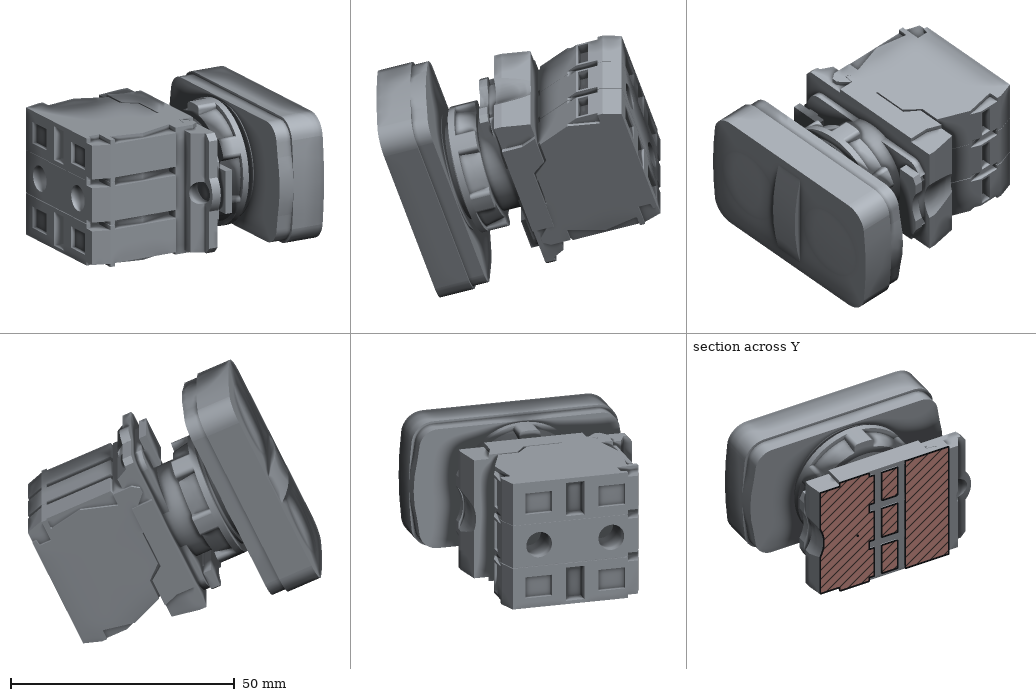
import cadquery as cq
import math


Y_TERMINAL_CHAMFER = 4.0
Y_CONTACT_TOP = 20.5
Y_HOLDER_STEP = 23.65
Y_EAR_BACK = 26.45
Y_HOLDER_TOP = 28.6
Y_PLATE_TOP = 30.2
Y_TAB_BACK = 30.4
Y_RIGHT_TAB_BACK = 30.6
Y_TAB_TOP = 32.35
Y_NUT_BACK = 34.75
Y_NUT_RIM_BACK = 39.3
Y_NUT_FRONT = 40.75
Y_GASKET_FRONT = 41.3
Y_FLANGE_BACK = 42.5
Y_BEZEL_BACK = 42.7
Y_BEZEL_STEP = 46.3
Y_BEZEL_FRONT = 54.2
Y_ROCKER_FRONT = 55.9

BODY_HALF_HEIGHT = 30.0 / 2
CONTACT_BOTTOM = -14.75
LEVER_HALF_HEIGHT = 14.0
DIVIDER_INNER = 4.0
DIVIDER_OUTER = 6.1

OVERCUT = 0.55


def prism_z(points, z_low, z_high):
    """Prism along Z from an outline of (X, Y) points."""
    return cq.Workplane("XY").workplane(offset=z_low).polyline(points).close().extrude(z_high - z_low)


def plane_y(y):
    """XZ sketch plane at the given Y; extrusions from it run toward -Y."""
    return cq.Workplane("XZ", origin=(0, y, 0))


def box(x_range, y_range, z_range):
    """Box from its limits along each axis."""
    sizes = [high - low for low, high in (x_range, y_range, z_range)]
    corner = (x_range[0], y_range[0], z_range[0])
    return cq.Workplane("XY").box(*sizes, centered=False).translate(corner)


def disc(diameter, y_back, y_front):
    """Cylinder on the neck axis."""
    return plane_y(y_front).circle(diameter / 2).extrude(y_front - y_back)


BEZEL_HALF_LENGTH = 24.75
BEZEL_STRAIGHT = 19.1


def bezel_layer(half_height, corner_end, bulge_end, y_back, y_front):
    """Rounded plate whose two ends bulge; corner_end and bulge_end are (X, Z) on the +X +Z quarter."""
    corner_x, corner_z = corner_end
    bulge_x, bulge_z = bulge_end
    corner_width = corner_x - BEZEL_STRAIGHT
    corner_drop = half_height - corner_z
    corner_radius = (corner_width**2 + corner_drop**2) / (2 * corner_drop)
    half_sweep = math.asin(corner_width / corner_radius) / 2
    middle_x = BEZEL_STRAIGHT + corner_radius * math.sin(half_sweep)
    middle_z = half_height - corner_radius * (1 - math.cos(half_sweep))
    has_flat = bulge_end != corner_end
    outline = plane_y(y_front).moveTo(-BEZEL_STRAIGHT, half_height)
    for side in (1, -1):
        outline = outline.lineTo(side * BEZEL_STRAIGHT, side * half_height)
        outline = outline.threePointArc(
            (side * middle_x, side * middle_z),
            (side * corner_x, side * corner_z),
        )
        if has_flat:
            outline = outline.lineTo(side * bulge_x, side * bulge_z)
        outline = outline.threePointArc((side * BEZEL_HALF_LENGTH, 0), (side * bulge_x, -side * bulge_z))
        if has_flat:
            outline = outline.lineTo(side * corner_x, -side * corner_z)
        outline = outline.threePointArc(
            (side * middle_x, -side * middle_z),
            (side * BEZEL_STRAIGHT, -side * half_height),
        )
    return outline.close().extrude(y_front - y_back)


def bezel():
    front_corner = (24.15, 10.4)
    front = bezel_layer(14.75, front_corner, front_corner, Y_BEZEL_STEP, Y_BEZEL_FRONT)
    back = bezel_layer(14.1, (23.4, 10.25), (23.9, 6.9), Y_BEZEL_BACK, Y_BEZEL_STEP)
    return front.union(back)


def rocker():
    """Curved bar across the middle of the bezel face."""
    half_width = 3.5
    half_height = 12.3
    return (
        cq.Workplane("YZ", origin=(-half_width, 0, 0))
        .moveTo(Y_BEZEL_FRONT - OVERCUT, -half_height)
        .lineTo(Y_BEZEL_FRONT, -half_height)
        .threePointArc((Y_ROCKER_FRONT, 0), (Y_BEZEL_FRONT, half_height))
        .lineTo(Y_BEZEL_FRONT - OVERCUT, half_height)
        .close()
        .extrude(2 * half_width)
    )


def lens(x):
    """Shallow spherical cap on the bezel face."""
    base_radius = 17.0 / 2
    rise = 0.4
    sphere_radius = (base_radius**2 + rise**2) / (2 * rise)
    half_angle = math.asin(base_radius / sphere_radius) / 2
    middle = (
        sphere_radius * math.sin(half_angle),
        Y_BEZEL_FRONT + rise - sphere_radius * (1 - math.cos(half_angle)),
    )
    return (
        cq.Workplane("XY")
        .moveTo(0, Y_BEZEL_FRONT - OVERCUT)
        .lineTo(base_radius, Y_BEZEL_FRONT - OVERCUT)
        .lineTo(base_radius, Y_BEZEL_FRONT)
        .threePointArc(middle, (0, Y_BEZEL_FRONT + rise))
        .close()
        .revolve(360, (0, 0, 0), (0, 1, 0))
        .translate((x, 0, 0))
    )


LENS_X = 13.2
head = bezel().union(rocker())
for lens_x in (-LENS_X, LENS_X):
    head = head.union(lens(lens_x))

NECK_DIAMETER = 22.0
FLANGE_DIAMETER = 26.8
GASKET_DIAMETER = 25.0
NUT_DIAMETER = 29.0
NUT_CONE_FRONT_DIAMETER = 26.8
NUT_CONE_BACK_DIAMETER = 25.0
NUT_RIDGES = 6
NUT_RIDGE_WIDTH = 3.0
NUT_SHOULDER_RADIUS = 0.95


def nut():
    """Round rim with a cone behind it that carries evenly spaced ridges."""
    body = disc(NUT_DIAMETER, Y_NUT_RIM_BACK, Y_NUT_FRONT)
    cone = (
        plane_y(Y_NUT_RIM_BACK)
        .circle(NUT_CONE_FRONT_DIAMETER / 2)
        .workplane(offset=Y_NUT_RIM_BACK - Y_NUT_BACK)
        .circle(NUT_CONE_BACK_DIAMETER / 2)
        .loft()
    )
    nut_cylinder = disc(NUT_DIAMETER, Y_NUT_BACK, Y_NUT_RIM_BACK)
    ridge = nut_ridge().intersect(nut_cylinder)
    body = body.union(cone)
    for index in range(NUT_RIDGES):
        body = body.union(ridge.rotate((0, 0, 0), (0, 1, 0), index * 360 / NUT_RIDGES))
    return body


def nut_ridge():
    """Ridge on the +Z side with rounded shoulders and straight flanks."""
    crest_half_width = NUT_RIDGE_WIDTH / 2
    half_width = crest_half_width + NUT_SHOULDER_RADIUS
    shoulder_top = math.sqrt((NUT_DIAMETER / 2) ** 2 - crest_half_width**2)
    shoulder_center = shoulder_top - NUT_SHOULDER_RADIUS
    diagonal = NUT_SHOULDER_RADIUS * math.sqrt(0.5)
    shoulder_middle = (crest_half_width + diagonal, shoulder_center + diagonal)
    base = NECK_DIAMETER / 2
    return (
        plane_y(Y_NUT_RIM_BACK)
        .moveTo(-crest_half_width, NUT_DIAMETER / 2)
        .lineTo(crest_half_width, NUT_DIAMETER / 2)
        .lineTo(crest_half_width, shoulder_top)
        .threePointArc(shoulder_middle, (half_width, shoulder_center))
        .lineTo(half_width, base)
        .lineTo(-half_width, base)
        .lineTo(-half_width, shoulder_center)
        .threePointArc((-shoulder_middle[0], shoulder_middle[1]), (-crest_half_width, shoulder_top))
        .close()
        .extrude(Y_NUT_RIM_BACK - Y_NUT_BACK)
    )


neck = (
    disc(NECK_DIAMETER, Y_HOLDER_TOP - OVERCUT, Y_BEZEL_BACK)
    .union(disc(FLANGE_DIAMETER, Y_FLANGE_BACK, Y_BEZEL_BACK))
    .union(disc(GASKET_DIAMETER, Y_NUT_FRONT, Y_GASKET_FRONT))
    .union(nut())
)

TAB_HALF_HEIGHT = 8.45
TAB_FOOT_HALF_HEIGHT = 5.05
TAB_FOOT_OVERLAP = 0.1


def locking_plate():
    half_height = 10.05
    return (
        plane_y(Y_PLATE_TOP)
        .moveTo(-13.6, half_height)
        .lineTo(15.8, half_height)
        .threePointArc((17.35, 9.6), (18.35, 8.65))
        .lineTo(19.35, 6.7)
        .lineTo(19.35, -6.7)
        .lineTo(18.35, -8.65)
        .threePointArc((17.35, -9.6), (15.8, -half_height))
        .lineTo(-13.6, -half_height)
        .threePointArc((-14.65, -9.85), (-15.55, -9.2))
        .lineTo(-17.15, -7.3)
        .lineTo(-16.1, -6.25)
        .lineTo(-16.9, -5.4)
        .lineTo(-16.9, 5.4)
        .lineTo(-16.1, 6.25)
        .lineTo(-17.15, 7.3)
        .lineTo(-15.55, 9.2)
        .threePointArc((-14.65, 9.85), (-13.6, half_height))
        .close()
        .extrude(Y_PLATE_TOP - Y_HOLDER_TOP)
    )


def tabs():
    """Left tab with slanted corners and a plain right tab, each standing on a low foot."""
    left = (
        plane_y(Y_TAB_TOP)
        .polyline([
            (-12.9, TAB_HALF_HEIGHT),
            (-17.15, TAB_HALF_HEIGHT),
            (-18.0, 6.65),
            (-18.0, -6.65),
            (-17.15, -TAB_HALF_HEIGHT),
            (-12.9, -TAB_HALF_HEIGHT),
        ])
        .close()
        .extrude(Y_TAB_TOP - Y_TAB_BACK)
    )
    foot_z = (-TAB_FOOT_HALF_HEIGHT, TAB_FOOT_HALF_HEIGHT)
    both = left.union(box((13.6, 21.45), (Y_RIGHT_TAB_BACK, Y_TAB_TOP), foot_z))
    foot_y = (Y_PLATE_TOP - OVERCUT, Y_RIGHT_TAB_BACK + TAB_FOOT_OVERLAP)
    for foot_x in ((-16.75, -12.65), (15.8, 18.35)):
        both = both.union(box(foot_x, foot_y, foot_z))
    return both


def holder():
    core = prism_z(
        [
            (-12.65, Y_HOLDER_TOP),
            (10.4, Y_HOLDER_TOP),
            (10.4, Y_HOLDER_STEP),
            (-4.85, Y_HOLDER_STEP),
            (-7.2, Y_CONTACT_TOP),
            (-14.0, Y_CONTACT_TOP),
            (-12.65, 23.85),
        ],
        -BODY_HALF_HEIGHT,
        BODY_HALF_HEIGHT,
    )
    lever = prism_z(
        [
            (-12.3, Y_HOLDER_TOP),
            (-18.55, Y_HOLDER_TOP),
            (-18.55, 26.95),
            (-17.4, Y_CONTACT_TOP),
            (-12.3, Y_CONTACT_TOP),
        ],
        -LEVER_HALF_HEIGHT,
        LEVER_HALF_HEIGHT,
    )
    wedge = prism_z(
        [
            (10.05, Y_HOLDER_TOP),
            (19.35, Y_HOLDER_TOP),
            (19.35, Y_EAR_BACK),
            (17.9, Y_HOLDER_STEP),
            (10.05, Y_HOLDER_STEP),
        ],
        -LEVER_HALF_HEIGHT,
        LEVER_HALF_HEIGHT,
    )
    return core.union(lever).union(wedge).union(ear())


def ear():
    """Thin flange on the +X side with clipped corners and a rounded nose."""
    edge_x = 21.35
    clip_x, clip_z = 20.05, 12.6
    nose_x, nose_z = 22.8, 3.85
    return (
        plane_y(Y_HOLDER_TOP)
        .moveTo(10.05, LEVER_HALF_HEIGHT)
        .lineTo(clip_x, LEVER_HALF_HEIGHT)
        .lineTo(edge_x, clip_z)
        .lineTo(edge_x, nose_z)
        .threePointArc((nose_x, 0), (edge_x, -nose_z))
        .lineTo(edge_x, -clip_z)
        .lineTo(clip_x, -LEVER_HALF_HEIGHT)
        .lineTo(10.05, -LEVER_HALF_HEIGHT)
        .close()
        .extrude(Y_HOLDER_TOP - Y_EAR_BACK)
    )


def ear_hole():
    """Blind hole leaning toward -X as it deepens, with a floor square to Y."""
    diameter = 5.2
    lean = 41.0
    y_floor = 28.0
    middle = (19.5, 25.05, 0)
    reach = 11.2
    axis = cq.Vector(-math.sin(math.radians(lean)), math.cos(math.radians(lean)), 0)
    start = cq.Vector(*middle) - axis * reach
    hole = cq.Workplane(cq.Solid.makeCylinder(diameter / 2, 2 * reach, start, axis))
    return hole.intersect(box((0, 2 * reach + middle[0]), (0, y_floor), (-diameter, diameter)))


def lever_scoop():
    """Finger scoop along Y through the lever, the locking plate and the left tab."""
    radius = 8.1
    deepest_x = -16.95
    height = Y_TAB_TOP - Y_CONTACT_TOP
    return plane_y(Y_TAB_TOP).center(deepest_x - radius, 0).circle(radius).extrude(height)


CONTACT_LEFT = -15.95
CONTACT_RIGHT = 16.0
JOINT_DEPTH = 0.15
JOINT_TOP = 19.9
JOINTS = ((5.05, 5.1), (-5.1, -4.9))


def contact_blocks():
    """Common outline of the modules, with the latch that hooks over the holder."""
    return prism_z(
        [
            (-14.6, 0),
            (14.7, 0),
            (CONTACT_RIGHT, Y_TERMINAL_CHAMFER),
            (CONTACT_RIGHT, 20.95),
            (15.25, 21.25),
            (15.25, 25.8),
            (14.15, 27.4),
            (12.8, 27.4),
            (10.4, 25.15),
            (10.05, Y_HOLDER_STEP),
            (-4.85, Y_HOLDER_STEP),
            (-7.2, Y_CONTACT_TOP),
            (-11.7, Y_CONTACT_TOP),
            (CONTACT_LEFT, 10.25),
            (CONTACT_LEFT, Y_TERMINAL_CHAMFER),
        ],
        CONTACT_BOTTOM,
        BODY_HALF_HEIGHT,
    )


NOTCH_LEFT = CONTACT_LEFT - OVERCUT
NOTCH_RIGHT = CONTACT_RIGHT + OVERCUT
GAP_BACK = 23.25

NOTCH_OUTLINES = [
    [(NOTCH_LEFT, 13.4), (-15.0, 12.7), (-13.6, 5.5), (-13.8, 5.2), (NOTCH_LEFT, 5.2)],
    [(NOTCH_RIGHT, 21.25), (12.4, 21.25), (15.0, 13.0), (13.6, 5.5), (13.8, 5.2), (NOTCH_RIGHT, 5.2)],
    [
        (NOTCH_RIGHT, Y_TERMINAL_CHAMFER),
        (11.0, Y_TERMINAL_CHAMFER),
        (11.0, 1.25),
        (12.4, 0.95),
        (12.25, -OVERCUT),
        (NOTCH_RIGHT, -OVERCUT),
    ],
    [
        (-12.3, Y_CONTACT_TOP),
        (-7.2, Y_CONTACT_TOP),
        (-4.85, Y_HOLDER_STEP),
        (4.15, Y_HOLDER_STEP),
        (3.95, GAP_BACK),
        (-4.2, GAP_BACK),
        (-7.15, JOINT_TOP),
        (-12.3, JOINT_TOP),
    ],
]
NOTCH_BANDS = [
    (LEVER_HALF_HEIGHT, BODY_HALF_HEIGHT + OVERCUT),
    (DIVIDER_INNER, DIVIDER_OUTER),
    (-DIVIDER_OUTER, -DIVIDER_INNER),
    (-BODY_HALF_HEIGHT - OVERCUT, -LEVER_HALF_HEIGHT),
]


def cut_notches(body):
    for outline in NOTCH_OUTLINES:
        for z_low, z_high in NOTCH_BANDS:
            body = body.cut(prism_z(outline, z_low, z_high))
    return body


def cut_through_slits(body):
    for x_range in ((-3.85, -2.05), (2.1, 3.95)):
        z_range = (-BODY_HALF_HEIGHT - OVERCUT, BODY_HALF_HEIGHT + OVERCUT)
        body = body.cut(box(x_range, (GAP_BACK, Y_HOLDER_STEP), z_range))
    return body


def cut_module_joints(body):
    """Thin slits between the modules, which stay joined by a narrow web and by their tops."""
    web_half_width = 0.55
    reach = CONTACT_RIGHT + OVERCUT
    outline = [
        (-reach, -OVERCUT),
        (reach, -OVERCUT),
        (reach, JOINT_TOP),
        (web_half_width, JOINT_TOP),
        (web_half_width, JOINT_DEPTH),
        (-web_half_width, JOINT_DEPTH),
        (-web_half_width, JOINT_TOP),
        (-reach, JOINT_TOP),
    ]
    for z_low, z_high in JOINTS:
        body = body.cut(prism_z(outline, z_low, z_high))
    return body


def cut_latch_line(body):
    """Fine hooked groove in the top face between the latch and the holder."""
    width = 0.1
    depth = 0.15
    groove = prism_z(
        [
            (10.4, 25.1),
            (12.75, 24.8),
            (12.75, 24.5),
            (12.3, Y_HOLDER_STEP),
            (12.3 - width, Y_HOLDER_STEP),
            (12.75 - width, 24.5),
            (12.75 - width, 24.8 - width),
            (10.4, 25.1 - width),
        ],
        BODY_HALF_HEIGHT - depth,
        BODY_HALF_HEIGHT + OVERCUT,
    )
    return body.cut(groove)


def cut_side_windows(body):
    """One window in the -X face of each module."""
    depth = 2.25
    for z_range in ((6.65, 13.4), (-3.45, 3.45), (-13.4, -6.65)):
        body = body.cut(box((CONTACT_LEFT - OVERCUT, CONTACT_LEFT + depth), (7.45, 9.85), z_range))
    return body


def cut_terminal_face(body):
    """Pockets of the two outer modules and screw holes of the middle one."""
    square_depth = 1.05
    middle_depth = 2.8
    screw_hole_diameter = 6.0
    screw_hole_depth = 8.4
    screw_hole_x = 8.45
    for z_low, z_high in ((7.45, 12.4), (-12.4, -7.45)):
        for x_low, x_high in ((-11.7, -5.4), (5.4, 11.7)):
            body = body.cut(box((x_low, x_high), (-OVERCUT, square_depth), (z_low, z_high)))
    for z_range in ((DIVIDER_OUTER, LEVER_HALF_HEIGHT), (-LEVER_HALF_HEIGHT, -DIVIDER_OUTER)):
        body = body.cut(box((-2.1, 2.1), (-OVERCUT, middle_depth), z_range))
    for x in (-screw_hole_x, screw_hole_x):
        hole = disc(screw_hole_diameter, -OVERCUT, screw_hole_depth).translate((x, 0, 0))
        body = body.cut(hole)
    return body


result = holder().union(locking_plate()).union(tabs()).cut(lever_scoop())
result = result.union(contact_blocks())
result = cut_notches(result)
result = cut_through_slits(result)
result = cut_module_joints(result)
result = cut_latch_line(result)
result = cut_side_windows(result)
result = cut_terminal_face(result)
result = result.cut(ear_hole()).union(neck).union(head)